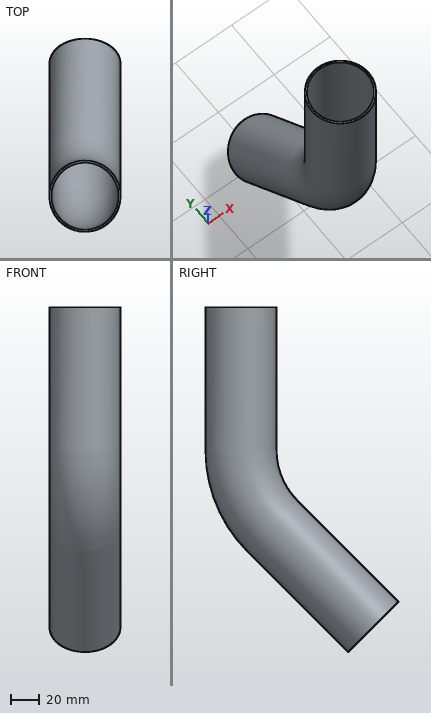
import cadquery as cq
import math

outer_diameter = 50.8
inner_diameter = 47.6
leg_length = 101.6
bend_radius = 76.2
bend_angle = 45.0


def bend_point(angle_degrees):
    """(Y, Z) of the bend centreline after turning by an angle from vertical."""
    angle = math.radians(angle_degrees)
    y = bend_radius * (1 - math.cos(angle))
    z = -bend_radius * math.sin(angle)
    return y, z


def tube_centreline():
    """Vertical leg down to the origin, bend towards +Y, then the sloping leg."""
    bend_end = bend_point(bend_angle)
    slope = math.radians(bend_angle)
    leg_end_y = bend_end[0] + leg_length * math.sin(slope)
    leg_end_z = bend_end[1] - leg_length * math.cos(slope)
    return (
        cq.Workplane("YZ")
        .moveTo(0, leg_length)
        .lineTo(0, 0)
        .threePointArc(bend_point(bend_angle / 2), bend_end)
        .lineTo(leg_end_y, leg_end_z)
    )


result = (
    cq.Workplane("XY", origin=(0, 0, leg_length))
    .circle(outer_diameter / 2)
    .circle(inner_diameter / 2)
    .sweep(tube_centreline())
)